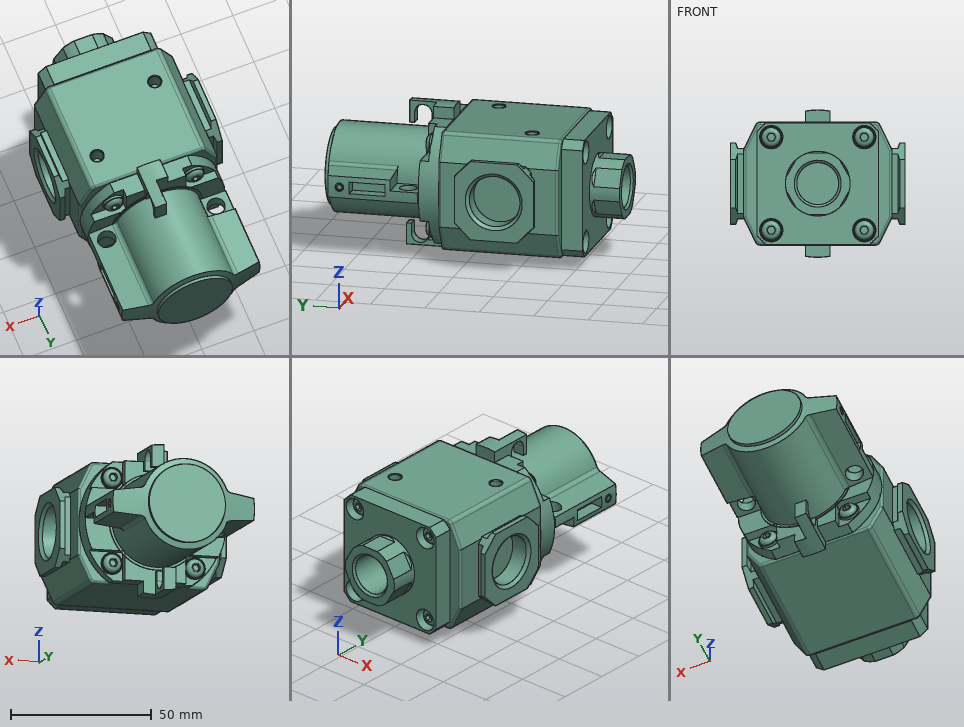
import cadquery as cq
import math


overall_length = 107.5
overall_width = 62.2

body_half_width = 26.4
body_half_height = 21.9
body_roof_half_width = 21.6
body_side_half_height = 12.0
body_front = -22.4
body_back = 21.6
body_edge_round = 1.9
body_end_round = 0.9

plate_half_width = 21.6
plate_thickness = 7.7
plate_front = body_front - plate_thickness
plate_corner_chamfer = 3.0
plate_screw_offset = 16.6
counterbore_diameter = 8.3
counterbore_depth = 4.5

screw_collar_diameter = 7.6
screw_collar_height = 1.0
screw_dome_diameter = 6.9
screw_rim_diameter = 3.4
screw_head_height = 2.6
socket_size = 3.0
socket_depth = 1.6

boss_front = -41.1
boss_diameter = 23.0
boss_flat_distance = 11.0
flat_count = 6
flat_back = -31.6
flat_runout = 1.0
flat_cut_clearance = 1.1
boss_bore_diameter = 14.9
boss_bore_depth = 19.4
boss_bore_chamfer = 0.9

port_face = overall_width / 2
port_root = 25.4
flange_half = 14.5
flange_corner_chamfer = 5.9
flange_thickness = 1.9
neck_half = 12.6
neck_start = 28.5
port_bore_diameter = 18.6
port_bore_depth = 7.5
port_bore_chamfer = 1.2

mount_hole_diameter = 4.4
mount_hole_depth = 6.5
mount_hole_chamfer = 0.3
mount_hole_offset = (15.0, 10.0)

ring_diameter = 52.5
ring_back = 29.0
ring_half_height = plate_half_width
ring_corner_x = 11.4
ring_corner_z = 11.2
ring_corner_floor = 25.9
bonnet_screw_offset = 15.5

tab_width = 8.8
lock_plate_back = 39.0
lock_plate_bottom = 18.1
lock_hole_diameter = 6.5
lock_hole_y = 34.0
lock_slot_top = 24.9

knob_diameter = 32.9
knob_cone_back = 65.3
knob_front = 29.3
collar_diameter = 34.8
cap_diameter = 28.4
cap_back = boss_front + overall_length

lug_tip_radius = body_half_width
lug_tip_half_height = 4.0
lug_root_x = 17.1
lug_root_half_height = 5.0
lug_blend_half_height = 6.1
lug_blend_radius = 2.2
lug_tip_back = 62.2
lug_step_back = 39.3
lug_hole_x = 21.0
lug_window_start = 41.3
lug_window_end = 54.4
lug_window_height = 4.3
lug_window_depth = 4.8
lug_pin_y = 58.0
lug_pin_diameter = 2.0
lug_pin_hole_diameter = 3.0
lug_pin_hole_depth = 0.6


def box(x_range, y_range, z_range):
    """Axis-aligned box between the given pairs of limits."""
    size = [high - low for low, high in (x_range, y_range, z_range)]
    corner = (x_range[0], y_range[0], z_range[0])
    return cq.Workplane("XY").box(*size, centered=False).translate(corner)


def section(y):
    """Sketch plane across the regulator axis; extrusion runs towards +Y."""
    return cq.Workplane(cq.Plane(origin=(0, y, 0), xDir=(1, 0, 0), normal=(0, -1, 0)))


def cylinder_y(diameter, start, end, x=0, z=0):
    return section(start).center(x, z).circle(diameter / 2).extrude(start - end)


def cone_y(start_diameter, end_diameter, start, end):
    profile = [(0, start), (start_diameter / 2, start), (end_diameter / 2, end), (0, end)]
    return cq.Workplane("XY").polyline(profile).close().revolve(360, (0, 0, 0), (0, 1, 0))


def half_turn(shape):
    """Copy turned by 180 degrees about the regulator axis."""
    return shape.rotate((0, 0, 0), (0, 1, 0), 180)


def corners(offset):
    return [(sx * offset, sz * offset) for sx in (-1, 1) for sz in (-1, 1)]


def button_head():
    """Domed screw head with a collar and a hexagon socket, seated at the origin and rising along +Z."""
    collar_radius = screw_collar_diameter / 2
    dome_radius = screw_dome_diameter / 2
    rim_radius = screw_rim_diameter / 2
    dome_rise = screw_head_height - screw_collar_height
    dome_middle = (
        rim_radius + math.cos(math.pi / 4) * (dome_radius - rim_radius),
        screw_collar_height + math.sin(math.pi / 4) * dome_rise,
    )
    head = (
        cq.Workplane("XZ")
        .lineTo(collar_radius, 0)
        .lineTo(collar_radius, screw_collar_height)
        .lineTo(dome_radius, screw_collar_height)
        .threePointArc(dome_middle, (rim_radius, screw_head_height))
        .lineTo(0, screw_head_height)
        .close()
        .revolve(360, (0, 0, 0), (0, 1, 0))
    )
    socket = cq.Workplane("XY").workplane(offset=screw_head_height).polygon(6, socket_size)
    return head.cut(socket.extrude(-socket_depth))


def make_body():
    outline = [
        (body_half_width, body_side_half_height),
        (body_roof_half_width, body_half_height),
        (-body_roof_half_width, body_half_height),
        (-body_half_width, body_side_half_height),
        (-body_half_width, -body_side_half_height),
        (-body_roof_half_width, -body_half_height),
        (body_roof_half_width, -body_half_height),
        (body_half_width, -body_side_half_height),
    ]
    body = section(body_front).polyline(outline).close().extrude(body_front - body_back)
    body = body.edges("|Y").edges(">Z or <Z").fillet(body_edge_round)
    return body.faces("<Y or >Y").edges().fillet(body_end_round)


def make_cover_plate():
    plate = box(
        (-plate_half_width, plate_half_width),
        (plate_front, body_front),
        (-plate_half_width, plate_half_width),
    )
    plate = plate.edges("|Y").chamfer(plate_corner_chamfer)
    head = button_head().rotate((0, 0, 0), (1, 0, 0), 90)
    floor = plate_front + counterbore_depth
    for x, z in corners(plate_screw_offset):
        plate = plate.cut(cylinder_y(counterbore_diameter, plate_front, floor, x, z))
        plate = plate.union(head.translate((x, floor, z)))
    return plate


def make_gauge_boss():
    boss = cylinder_y(boss_diameter, boss_front, plate_front)
    outside = boss_diameter / 2 + flat_cut_clearance
    runout_rise = outside - boss_flat_distance
    runout_slope = (boss_diameter / 2 - boss_flat_distance) / flat_runout
    flat_profile = [
        (boss_front, boss_flat_distance),
        (flat_back, boss_flat_distance),
        (flat_back + runout_rise / runout_slope, outside),
        (boss_front, outside),
    ]
    flat = cq.Workplane("YZ").polyline(flat_profile).close().extrude(boss_diameter / 2, both=True)
    for i in range(flat_count):
        boss = boss.cut(flat.rotate((0, 0, 0), (0, 1, 0), i * 360 / flat_count))
    return boss


def boss_bore():
    rim = boss_bore_diameter + 2 * boss_bore_chamfer
    bore = cylinder_y(boss_bore_diameter, boss_front, boss_front + boss_bore_depth)
    return bore.union(cone_y(rim, boss_bore_diameter, boss_front, boss_front + boss_bore_chamfer))


def make_port():
    """Port on the +X side: square neck and flange with common cut-off corners."""
    flange_back = port_face - flange_thickness
    side = cq.Workplane("YZ").workplane(offset=port_root)
    port = side.rect(2 * neck_half, 2 * neck_half).extrude(port_face - port_root)
    taper = (
        cq.Workplane("YZ").workplane(offset=neck_start)
        .rect(2 * neck_half, 2 * neck_half)
        .workplane(offset=flange_back - neck_start)
        .rect(2 * flange_half, 2 * flange_half)
        .loft(ruled=True)
    )
    flange = cq.Workplane("YZ").workplane(offset=flange_back)
    flange = flange.rect(2 * flange_half, 2 * flange_half).extrude(flange_thickness)
    octagon = side.rect(2 * flange_half, 2 * flange_half).extrude(port_face - port_root)
    octagon = octagon.edges("|X").chamfer(flange_corner_chamfer)
    return port.union(taper).union(flange).intersect(octagon)


def port_bore():
    outer_radius = port_bore_diameter / 2 + port_bore_chamfer
    profile = [
        (port_face - port_bore_depth, 0),
        (port_face - port_bore_depth, port_bore_diameter / 2),
        (port_face - port_bore_chamfer, port_bore_diameter / 2),
        (port_face, outer_radius),
        (port_face, 0),
    ]
    return cq.Workplane("XY").polyline(profile).close().revolve(360, (0, 0, 0), (1, 0, 0))


def mount_hole():
    hole_radius = mount_hole_diameter / 2
    profile = [
        (0, body_half_height),
        (hole_radius + mount_hole_chamfer, body_half_height),
        (hole_radius, body_half_height - mount_hole_chamfer),
        (hole_radius, body_half_height - mount_hole_depth),
        (0, body_half_height - mount_hole_depth),
    ]
    return cq.Workplane("XZ").polyline(profile).close().revolve(360, (0, 0, 0), (0, 1, 0))


def make_bonnet_ring():
    reach = ring_diameter
    disc = cylinder_y(ring_diameter, body_back, ring_back)
    ring = disc.intersect(
        box((-reach, reach), (body_back, ring_back), (-ring_half_height, ring_half_height))
    )
    head = button_head().rotate((0, 0, 0), (1, 0, 0), -90)
    corner = box((ring_corner_x, reach), (ring_corner_floor, ring_back), (ring_corner_z, reach))
    corner = corner.union(corner.mirror("XY"))
    ring = ring.cut(corner).cut(corner.mirror("YZ"))
    for x, z in corners(bonnet_screw_offset):
        ring = ring.union(head.translate((x, ring_corner_floor, z)))
    return ring


def make_locking_tab():
    """Upper tab with the slotted plate that reaches back beside the knob."""
    half = tab_width / 2
    radius = ring_diameter / 2
    tab = cylinder_y(ring_diameter, body_back, lock_plate_back)
    tab = tab.intersect(box((-half, half), (body_back, lock_plate_back), (lock_plate_bottom, radius)))
    tab = tab.cut(box((-half, 0), (ring_back, lock_plate_back), (0, radius)))
    slot_centre = lock_slot_top - lock_hole_diameter / 2
    slot_half = lock_hole_diameter / 2
    slot = cq.Workplane("YZ").center(lock_hole_y, slot_centre).circle(slot_half).extrude(half)
    slot = slot.union(
        box((0, half), (lock_hole_y - slot_half, lock_hole_y + slot_half), (0, slot_centre))
    )
    return tab.cut(slot)


def lug_outline():
    """Section of the -X lug: tapered sides blended into the knob, tip on a cylinder about the Y axis."""
    knob_radius = knob_diameter / 2
    blend_x = math.sqrt(knob_radius ** 2 - lug_blend_half_height ** 2)
    tip_x = math.sqrt(lug_tip_radius ** 2 - lug_tip_half_height ** 2)
    return (
        section(knob_front)
        .moveTo(0, lug_blend_half_height)
        .lineTo(-blend_x, lug_blend_half_height)
        .radiusArc((-lug_root_x, lug_root_half_height), lug_blend_radius)
        .lineTo(-tip_x, lug_tip_half_height)
        .threePointArc((-lug_tip_radius, 0), (-tip_x, -lug_tip_half_height))
        .lineTo(-lug_root_x, -lug_root_half_height)
        .radiusArc((-blend_x, -lug_blend_half_height), lug_blend_radius)
        .lineTo(0, -lug_blend_half_height)
        .close()
    )


def make_lug():
    """Lug on the -X side of the knob, with its padlock step, hole, window and pin."""
    reach = lug_tip_radius
    lug = lug_outline().extrude(knob_front - knob_cone_back)
    lug = lug.cut(box((-reach, 0), (knob_front, lug_step_back), (0, reach)))
    hole = cq.Workplane("XY").center(-lug_hole_x, lock_hole_y).circle(lock_hole_diameter / 2)
    lug = lug.cut(hole.extrude(reach, both=True))
    window_half = lug_window_height / 2
    lug = lug.cut(
        box(
            (-reach, lug_window_depth - reach),
            (lug_window_start, lug_window_end),
            (-window_half, window_half),
        )
    )
    pin_gap = (
        cq.Workplane("YZ").workplane(offset=-reach)
        .center(lug_pin_y, 0)
        .circle(lug_pin_hole_diameter / 2)
        .circle(lug_pin_diameter / 2)
        .extrude(lug_pin_hole_depth)
    )
    return lug.cut(pin_gap)


def make_knob():
    """Knob with two opposite lugs and a thin collar that keeps the lugs clear of the bonnet ring.

    One shallow cone ends both the knob and its lugs.
    """
    lug = make_lug()
    knob = cylinder_y(knob_diameter, knob_front, knob_cone_back).union(lug).union(half_turn(lug))
    envelope = cylinder_y(2 * lug_tip_radius, knob_front, lug_tip_back)
    envelope = envelope.union(cone_y(2 * lug_tip_radius, cap_diameter, lug_tip_back, knob_cone_back))
    collar = cylinder_y(collar_diameter, ring_back, knob_front)
    cap = cylinder_y(cap_diameter, knob_cone_back, cap_back)
    return knob.intersect(envelope).union(collar).union(cap)


port = make_port()
result = make_body().union(make_cover_plate()).union(make_gauge_boss()).cut(boss_bore())
result = result.union(port).union(half_turn(port))
result = result.cut(port_bore()).cut(half_turn(port_bore()))

for sign in (-1, 1):
    hole_x, hole_y = mount_hole_offset
    result = result.cut(mount_hole().translate((sign * hole_x, sign * hole_y, 0)))

tab = make_locking_tab()
result = result.union(make_bonnet_ring()).union(tab).union(half_turn(tab)).union(make_knob())